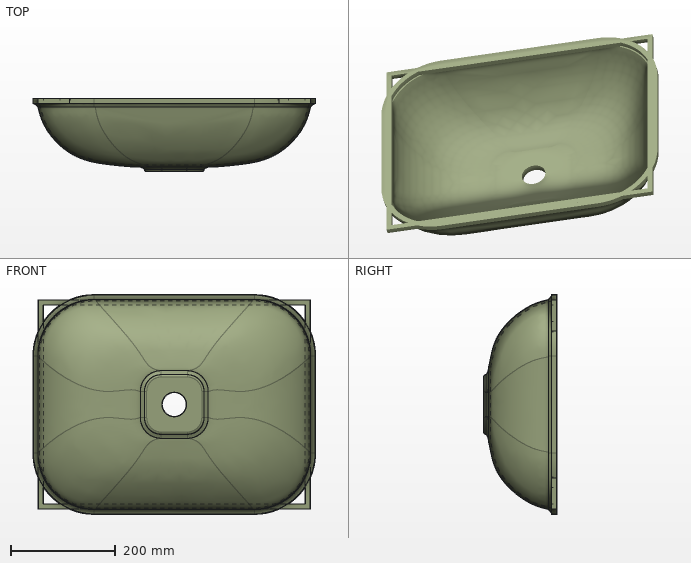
import cadquery as cq
import math

basin_width = 540.0
basin_height = 420.0
basin_depth = 140.0
rim_thickness = 10.0
rim_corner_radius = 117.0
rim_y = basin_depth - rim_thickness
wall = 4.0

bowl_sections = [
    (basin_depth, 6.0, 6.0, 111.0),
    (117.5, 11.0, 11.0, 109.0),
    (88.0, 22.0, 22.0, 107.0),
    (58.8, 43.0, 42.0, 104.0),
    (34.3, 73.0, 68.0, 97.0),
    (19.6, 109.0, 96.0, 84.0),
    (13.0, 148.0, 122.0, 63.0),
    (9.0, 206.0, 146.0, 40.0),
]

rim_flare = [
    (rim_y, 1.0),
    (128.6, 4.6),
    (126.5, 7.0),
    (123.6, 9.2),
]

pad_straight = 50.0
pad_side_radius = 32.0
pad_side_y = 4.5
pad_top_fillet = 4.4
pad_flare = [
    (9.8, 43.0),
    (7.0, 35.5),
    (pad_side_y, pad_side_radius),
]
drain_diameter = 46.0

frame_width = 520.0
frame_height = 400.0
frame_bar = 10.0

rim_wall = (basin_width - frame_width) / 2


def plane_at(y):
    """XZ sketch plane at the given Y, with its normal towards -Y."""
    return cq.Workplane("XZ", origin=(0, y, 0))


def rounded_plate(y, width, height, radius, thickness):
    """Rounded rectangular plate that reaches from the given Y towards -Y."""
    outline = cq.Sketch().rect(width, height).vertices().fillet(radius)
    return plane_at(y).placeSketch(outline).extrude(thickness)


def rim_outline_plate(inset):
    """Plate as thick as the rim, with the rim outline moved inwards."""
    width = basin_width - 2 * inset
    height = basin_height - 2 * inset
    return rounded_plate(basin_depth, width, height, rim_corner_radius - inset, rim_thickness)


def loft_sections(sections):
    """Smooth solid through rounded rectangles given as (Y, width, height, corner radius)."""
    wires = [rounded_plate(*section, 1).faces(">Y").wires().val() for section in sections]
    return cq.Workplane(cq.Solid.makeLoft(wires))


def loft_inset_sections(sections):
    """Smooth solid through sections given by their insets from the rim outline."""
    return loft_sections([
        (y, basin_width - 2 * inset_x, basin_height - 2 * inset_z, radius)
        for y, inset_x, inset_z, radius in sections
    ])


def make_rim_flare():
    return loft_inset_sections([
        (y, inset, inset, rim_corner_radius - inset)
        for y, inset in rim_flare
    ])


def make_pad():
    flare = loft_sections([
        (y, pad_straight + 2 * radius, pad_straight + 2 * radius, radius)
        for y, radius in pad_flare
    ])
    side = pad_straight + 2 * pad_side_radius
    plate = rounded_plate(pad_side_y, side, side, pad_side_radius, pad_side_y)
    return flare.union(plate.faces("<Y").edges().fillet(pad_top_fillet))


def make_cavity():
    """Inside of the bowl: each section moved by the wall thickness at right angles to the wall."""
    last = len(bowl_sections) - 1
    inner_sections = []
    for i, (y, inset_x, inset_z, radius) in enumerate(bowl_sections):
        y_above, inset_above = bowl_sections[max(i - 1, 0)][:2]
        y_below, inset_below = bowl_sections[min(i + 1, last)][:2]
        slope = math.atan2(inset_below - inset_above, y_above - y_below)
        if i == 0:
            slope = 0
        if i == last:
            slope = math.pi / 2
        inward = wall * math.cos(slope)
        upward = wall * math.sin(slope)
        inner_sections.append((y + upward, inset_x + inward, inset_z + inward, radius - inward))
    return loft_inset_sections(inner_sections)


def make_frame():
    outer = plane_at(basin_depth).rect(frame_width, frame_height)
    return outer.rect(frame_width - 2 * frame_bar, frame_height - 2 * frame_bar).extrude(rim_thickness)


def make_basin(frame):
    """Hollow bowl with rim and drain pad, notched where the frame passes through it."""
    bowl = loft_inset_sections(bowl_sections)
    body = bowl.union(rim_outline_plate(0)).union(make_rim_flare()).union(make_pad())
    drain = plane_at(basin_depth).circle(drain_diameter / 2).extrude(basin_depth)
    return body.cut(make_cavity()).cut(rim_outline_plate(rim_wall)).cut(drain).cut(frame)


frame = make_frame()
basin = make_basin(frame)

result = cq.Compound.makeCompound([basin.solids().val(), frame.val()])